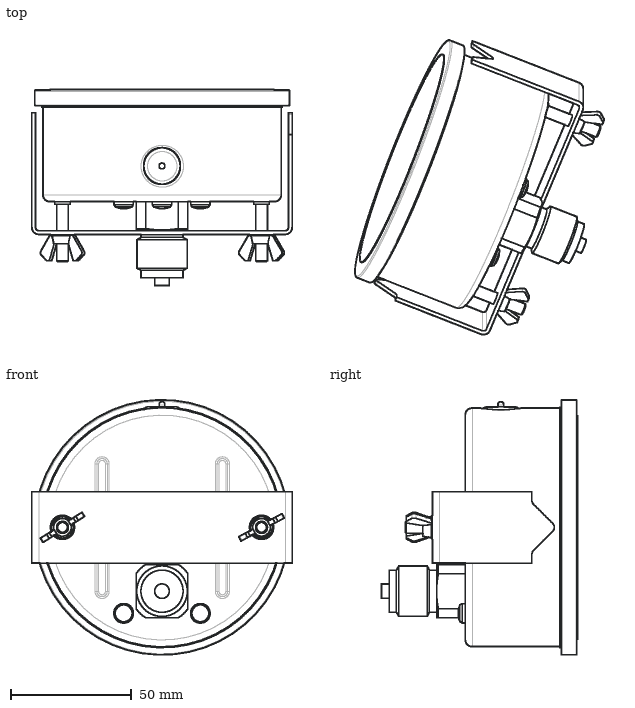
import cadquery as cq
import math


case_diameter = 99.0
case_edge_fillet = 2.9
ring_diameter = 105.8
ring_back = 39.7
ring_front = 46.3
ring_edge_fillet = 0.5
collar_diameter = 99.8
collar_length = 0.5
lens_diameter = 92.7
lens_rise = 0.3

plug_diameter = 15.0
plug_y = 14.8
plug_top = 49.9
plug_edge_fillet = 1.4
plug_depth = 2.7
plug_hole_diameter = 15.3
plug_hole_fillet = 1.0
nipple_diameter = 2.5
nipple_straight_length = 1.0

groove_x = 25.0
groove_length = 58.8
groove_width = 5.8
groove_edge_radius = 0.8
groove_depth = 2 * groove_edge_radius

connector_z = -26.5
block_width = 21.4
block_height = 22.0
block_corner_diameter = 25.9
block_length = 11.9
block_end_diameter = 21.0
block_end_bevel = 0.8
neck_diameter = 17.5
thread_diameter = 21.0
thread_start = 14.8
thread_end = 28.5
thread_bevel_angle = 30.0
neck_end = 31.5
pin_diameter = 6.0
pin_end = 34.8

rivet_circle_radius = 18.4
rivet_count = 3
rivet_diameter = 8.1
rivet_rim_height = 1.2
rivet_dome_diameter = 7.0
rivet_dome_start = 2.2
rivet_height = 2.9

bracket_length = 108.0
bracket_width = 29.7
bracket_thickness = 1.6
bracket_bend_radius = 2.9
bracket_back = 13.6
bracket_arm_end = 36.9
vee_sharp_depth = 10.3
vee_radius = 2.4

stud_x = 41.3
stud_diameter = 5.0
stud_end = 24.8
stud_chamfer = 0.4
stud_collar_diameter = 6.5
stud_collar_length = 1.1
nut_flare_diameter = 10.0
nut_flare_height = 0.5
nut_base_diameter = 8.9
nut_top_diameter = 7.3
nut_height = 3.9
wing_thickness = 2.0
wing_tip_fillet = 1.3
wing_root_radius = 2.7
wing_root_gap = 0.3
wing_outer_foot_radius = 5.6
wing_tip_radius = 10.6
wing_tip_height = 7.8
wing_top_height = 10.9
wing_top_outer_radius = 7.1
wing_top_inner_radius = 5.8
wing_inner_foot_radius = 3.5
left_nut_angle = 32.0
right_nut_angle = 28.0

overlap = 1.1


def rod(diameter, y_start, y_end, x=0, z=0):
    """Cylinder along Y between two Y positions."""
    plane = cq.Workplane("XZ", origin=(x, y_end, z))
    return plane.circle(diameter / 2).extrude(y_end - y_start)


def revolve_about_y(points, z=0):
    """Solid of revolution about a line parallel to Y from (radius, y) points."""
    profile = cq.Workplane("XY").polyline(points).close()
    return profile.revolve(360, (0, 0, 0), (0, 1, 0)).translate((0, 0, z))


def make_case():
    case = rod(case_diameter, 0, ring_back).faces("<Y").edges().fillet(case_edge_fillet)
    collar = rod(collar_diameter, ring_back - collar_length, ring_back)
    ring = rod(ring_diameter, ring_back, ring_front).edges().fillet(ring_edge_fillet)
    lens = rod(lens_diameter, ring_front - overlap, ring_front + lens_rise)
    return case, collar.union(ring).union(lens)


def cut_plug_hole(case):
    floor_z = case_diameter / 2 - plug_depth
    hole = cq.Workplane("XY", origin=(0, plug_y, floor_z)).circle(plug_hole_diameter / 2)
    hole = hole.extrude(2 * plug_depth)
    return case.cut(hole).edges("%BSPLINE").fillet(plug_hole_fillet)


def make_plug():
    floor_z = case_diameter / 2 - plug_depth
    plug = cq.Workplane("XY", origin=(0, plug_y, floor_z)).circle(plug_diameter / 2)
    plug = plug.extrude(plug_top - floor_z)
    plug = plug.faces(">Z").edges().fillet(plug_edge_fillet)
    nipple = cq.Workplane("XY", origin=(0, plug_y, plug_top)).circle(nipple_diameter / 2)
    nipple = nipple.extrude(nipple_straight_length)
    dome = cq.Workplane("XY", origin=(0, plug_y, plug_top + nipple_straight_length)).sphere(nipple_diameter / 2)
    return plug.union(nipple).union(dome)


def make_groove(x):
    """Straight groove with a rounded mouth and a rounded floor edge."""
    r = groove_edge_radius
    half_width = groove_width / 2
    half_straight = groove_length / 2 - half_width
    turn = r * math.sin(math.radians(45))
    half_outline = (
        cq.Workplane("XY")
        .moveTo(0, 0)
        .lineTo(half_width, 0)
        .threePointArc((half_width - turn, r - turn), (half_width - r, r))
        .threePointArc((half_width - 2 * r + turn, r + turn), (half_width - 2 * r, groove_depth))
        .lineTo(0, groove_depth)
        .close()
    )
    half_profile = cq.Sketch().face(half_outline.val())
    end = cq.Workplane("XY").placeSketch(half_profile).revolve(360, (0, 0, 0), (0, 1, 0))
    right_half = cq.Workplane("XY").placeSketch(half_profile).extrude(half_straight, both=True)
    groove = right_half.union(right_half.mirror("YZ"))
    for z in (-half_straight, half_straight):
        groove = groove.union(end.translate((0, 0, z)))
    return groove.translate((x, 0, 0))


def make_connector():
    length = block_length + overlap
    block = cq.Workplane("XZ", origin=(0, overlap, connector_z)).rect(block_width, block_height)
    block = block.extrude(length)
    corner_radius = block_corner_diameter / 2
    envelope = revolve_about_y(
        [
            (0, overlap),
            (corner_radius, overlap),
            (corner_radius, block_end_bevel - block_length),
            (block_end_diameter / 2, -block_length),
            (0, -block_length),
        ],
        z=connector_z,
    )
    block = block.intersect(envelope)
    neck = rod(neck_diameter, -neck_end, 0, z=connector_z)
    neck_radius = neck_diameter / 2
    thread_radius = thread_diameter / 2
    bevel = (thread_radius - neck_radius) * math.tan(math.radians(thread_bevel_angle))
    thread = revolve_about_y(
        [
            (0, -thread_start),
            (neck_radius, -thread_start),
            (thread_radius, -thread_start - bevel),
            (thread_radius, bevel - thread_end),
            (neck_radius, -thread_end),
            (0, -thread_end),
        ],
        z=connector_z,
    )
    pin = rod(pin_diameter, -pin_end, 0, z=connector_z)
    return block.union(neck).union(thread).union(pin)


def make_rivet(x, z):
    radius = rivet_diameter / 2
    base_radius = rivet_dome_diameter / 2
    dome_rise = rivet_height - rivet_dome_start
    dome_radius = (base_radius**2 + dome_rise**2) / (2 * dome_rise)
    dome_centre_y = dome_radius - rivet_height
    mid_x = base_radius / 2
    mid_y = dome_centre_y - math.sqrt(dome_radius**2 - mid_x**2)
    profile = (
        cq.Workplane("XY")
        .moveTo(0, overlap)
        .lineTo(radius, overlap)
        .lineTo(radius, -rivet_rim_height)
        .lineTo(base_radius, -rivet_dome_start)
        .threePointArc((mid_x, mid_y), (0, -rivet_height))
        .close()
    )
    return profile.revolve(360, (0, 0, 0), (0, 1, 0)).translate((x, 0, z))


def make_arm(side):
    """Bracket arm: the left one (side -1) ends in a V notch, the right one in the matching tongue."""
    half_width = bracket_width / 2
    rounding_loss = vee_radius * (math.sqrt(2) - 1)
    if side < 0:
        shoulder_y = bracket_arm_end
        apex_y = shoulder_y - vee_sharp_depth
    else:
        apex_y = bracket_arm_end + rounding_loss
        shoulder_y = apex_y - vee_sharp_depth
    arm = (
        cq.Workplane("YZ", origin=(side * bracket_length / 2, 0, 0))
        .moveTo(-bracket_back, -half_width)
        .lineTo(shoulder_y, -half_width)
        .lineTo(shoulder_y, -vee_sharp_depth)
        .lineTo(apex_y, 0)
        .lineTo(shoulder_y, vee_sharp_depth)
        .lineTo(shoulder_y, half_width)
        .lineTo(-bracket_back, half_width)
        .close()
        .extrude(-side * bracket_thickness)
    )
    vee_zone = cq.selectors.BoxSelector(
        (-bracket_length, 0, -vee_sharp_depth - vee_radius),
        (bracket_length, bracket_length, vee_sharp_depth + vee_radius),
    )
    return arm.edges("|X").edges(vee_zone).fillet(vee_radius)


def make_bracket():
    back_plate = (
        cq.Workplane("XY")
        .box(bracket_length, bracket_thickness, bracket_width)
        .translate((0, bracket_thickness / 2 - bracket_back, 0))
    )
    bracket = back_plate.union(make_arm(-1)).union(make_arm(1))
    inner_face_y = bracket_thickness - bracket_back
    bracket = bracket.edges("|Z and <Y").fillet(bracket_bend_radius)
    corner_band = bracket_thickness / 2
    inner_corners = cq.selectors.BoxSelector(
        (-bracket_length, inner_face_y - corner_band, -bracket_width),
        (bracket_length, inner_face_y + corner_band, bracket_width),
    )
    return bracket.edges("|Z").edges(inner_corners).fillet(bracket_bend_radius - bracket_thickness)


def make_wing_nut(x, angle):
    base_y = -bracket_back
    flare_y = base_y - nut_flare_height
    top_y = base_y - nut_height
    body = revolve_about_y(
        [
            (0, base_y),
            (nut_flare_diameter / 2, base_y),
            (nut_base_diameter / 2, flare_y),
            (nut_top_diameter / 2, top_y),
            (0, top_y),
        ]
    )
    outline = [
        (wing_root_radius, wing_root_gap),
        (wing_outer_foot_radius, wing_root_gap),
        (wing_tip_radius, wing_tip_height),
        (wing_top_outer_radius, wing_top_height),
        (wing_top_inner_radius, wing_top_height),
        (wing_inner_foot_radius, nut_height),
        (wing_root_radius, nut_height),
    ]
    wing = cq.Workplane("XY").polyline([(r, base_y - d) for r, d in outline]).close()
    wing = wing.extrude(wing_thickness / 2, both=True)
    wing = wing.edges("|Z and >X").fillet(wing_tip_fillet)
    nut = body.union(wing).union(wing.mirror("YZ"))
    return nut.rotate((0, 0, 0), (0, 1, 0), -angle).translate((x, 0, 0))


def make_stud(x):
    stud = rod(stud_diameter, -stud_end, overlap, x).faces("<Y").edges().chamfer(stud_chamfer)
    return stud.union(rod(stud_collar_diameter, -stud_collar_length, overlap, x))


case, bezel = make_case()
case = cut_plug_hole(case)
for side in (-1, 1):
    case = case.cut(make_groove(side * groove_x))

result = case.union(bezel).union(make_plug()).union(make_connector())

for i in range(rivet_count):
    rivet_angle = math.radians(90 + i * 360 / rivet_count)
    rivet_x = rivet_circle_radius * math.cos(rivet_angle)
    rivet_z = connector_z + rivet_circle_radius * math.sin(rivet_angle)
    result = result.union(make_rivet(rivet_x, rivet_z))

result = result.union(make_bracket())
for x, angle in ((-stud_x, left_nut_angle), (stud_x, right_nut_angle)):
    result = result.union(make_stud(x)).union(make_wing_nut(x, angle))